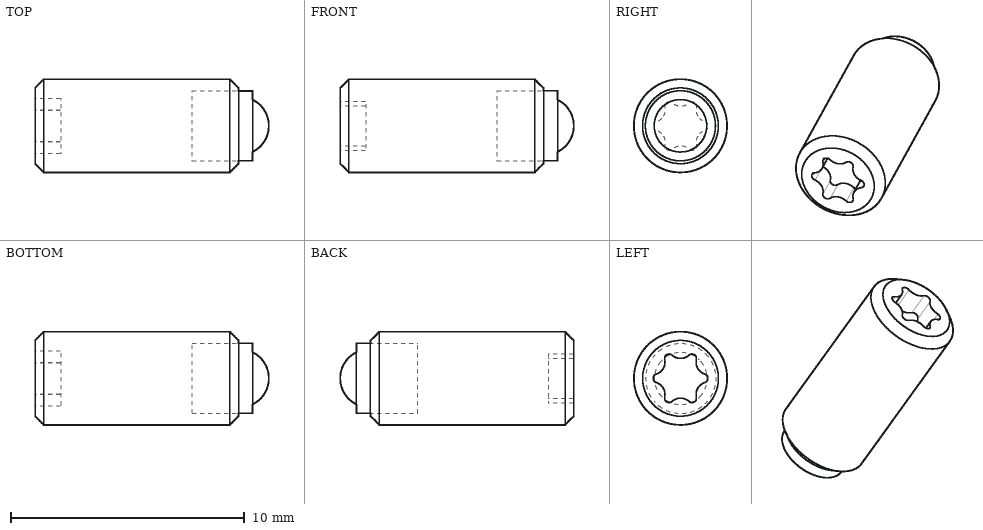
import cadquery as cq
import math

overall_length = 10.0
sleeve_diameter = 4.0
thread_pitch = 0.7
thread_height_factor = 1.0825
thread_core_diameter = sleeve_diameter - thread_height_factor * thread_pitch
pin_protrusion = 1.3
sleeve_length = overall_length - pin_protrusion
end_chamfer = (sleeve_diameter - thread_core_diameter) / 2

socket_tip_diameter = 2.34
socket_waist_diameter = 1.70
socket_tip_radius = 0.19
socket_depth = 1.1
lobe_count = 6

pin_diameter = 3.0
pin_seat_depth = 2.0
nose_radius = 1.25
nose_height = 0.7
nose_base_radius = math.sqrt(nose_radius**2 - (nose_radius - nose_height) ** 2)


def polar(radius, angle):
    """Point at the given radius and angle (degrees) in the YZ plane."""
    return (radius * math.cos(math.radians(angle)), radius * math.sin(math.radians(angle)))


def between(start, end, distance):
    """Point at a distance from start along the line towards end."""
    span = math.dist(start, end)
    return tuple(a + (b - a) * distance / span for a, b in zip(start, end))


def hexalobular_outline():
    """Closed star of convex tip arcs and concave flank arcs, tangent to each other."""
    half_step = 180 / lobe_count
    tip_center_distance = socket_tip_diameter / 2 - socket_tip_radius
    waist = socket_waist_diameter / 2

    cosine = math.cos(math.radians(half_step))
    flank_radius = (
        tip_center_distance**2 + waist**2 - 2 * tip_center_distance * waist * cosine - socket_tip_radius**2
    ) / (2 * (socket_tip_radius + tip_center_distance * cosine - waist))
    flank_center_distance = waist + flank_radius

    def tangent_point(tip_angle, flank_angle):
        tip_center = polar(tip_center_distance, tip_angle)
        flank_center = polar(flank_center_distance, flank_angle)
        return between(tip_center, flank_center, socket_tip_radius)

    outline = cq.Workplane("YZ").moveTo(*tangent_point(0, -half_step))
    for lobe in range(lobe_count):
        tip_angle = 2 * half_step * lobe
        flank_angle = tip_angle + half_step
        next_tip_angle = flank_angle + half_step
        outline = outline.threePointArc(
            polar(socket_tip_diameter / 2, tip_angle), tangent_point(tip_angle, flank_angle)
        )
        outline = outline.threePointArc(
            polar(waist, flank_angle), tangent_point(next_tip_angle, flank_angle)
        )
    return outline.close()


def make_sleeve():
    """Chamfered cylinder with a drive socket at one end and a pin bore at the other."""
    sleeve = (
        cq.Workplane("YZ")
        .circle(sleeve_diameter / 2)
        .extrude(sleeve_length)
        .faces("<X or >X")
        .chamfer(end_chamfer)
    )
    socket = hexalobular_outline().extrude(socket_depth)
    pin_bore = (
        cq.Workplane("YZ", origin=(sleeve_length, 0, 0))
        .circle(pin_diameter / 2)
        .extrude(-pin_seat_depth)
    )
    return sleeve.cut(socket).cut(pin_bore)


def make_pin():
    """Shank seated in the sleeve bore, with a spherical nose on its outer end."""
    seat_x = sleeve_length - pin_seat_depth
    shoulder_x = overall_length - nose_height
    nose_center_x = overall_length - nose_radius
    nose_mid_angle = math.asin(nose_base_radius / nose_radius) / 2
    nose_mid = (
        nose_center_x + nose_radius * math.cos(nose_mid_angle),
        nose_radius * math.sin(nose_mid_angle),
    )
    return (
        cq.Workplane("XY")
        .moveTo(seat_x, 0)
        .lineTo(seat_x, pin_diameter / 2)
        .lineTo(shoulder_x, pin_diameter / 2)
        .lineTo(shoulder_x, nose_base_radius)
        .threePointArc(nose_mid, (overall_length, 0))
        .close()
        .revolve(360, (0, 0, 0), (1, 0, 0))
    )


sleeve = make_sleeve()
pin = make_pin()
result = cq.Compound.makeCompound([sleeve.val(), pin.val()])